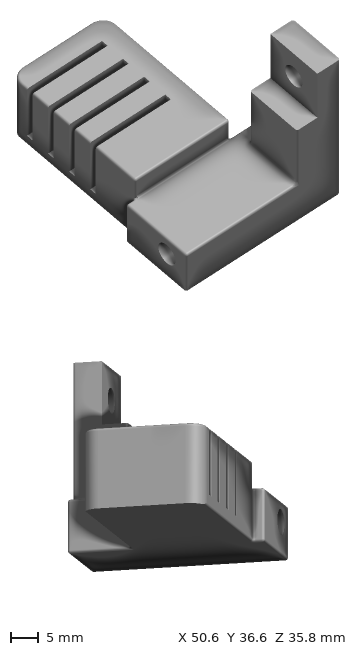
import cadquery as cq

length = 50.6
depth = 36.6
height = 35.75
edge_radius = 0.5

base_left = 34.15
base_height = 9.9

arm_front = 2.1
arm_back = 24.65
arm_height = 14.75
arm_corner_radius = 3.1

slot_count = 4
first_slot_left = 4.65
slot_width = 1.5
slot_pitch = 5.75
slot_back = 19.95
slot_floor = 2.4

post_left = 37.75
post_front = 26.35
post_foot_radius = 1.0
seam_margin = 0.05
step_front = 31.2
step_height = 24.15

hole_diameter = 4.7
post_hole_x = (post_left + length) / 2
post_hole_z = 29.85
base_hole_x = 45.35
base_hole_z = 5.95
base_hole_depth = 10.1


def block(x_min, x_max, y_min, y_max, z_min, z_max):
    """Box given by its limits along each axis."""
    return cq.Workplane("XY").box(
        x_max - x_min, y_max - y_min, z_max - z_min, centered=False
    ).translate((x_min, y_min, z_min))


def y_hole(x, z, hole_depth):
    """Drill along Y, starting from the front face."""
    return (
        cq.Workplane("XZ", origin=(x, 0, z))
        .circle(hole_diameter / 2)
        .extrude(-hole_depth)
    )


def make_arm():
    arm = block(0, base_left, arm_front, arm_back, 0, arm_height)
    arm = arm.edges("|X and <Z").fillet(edge_radius)
    rounded_plan = block(0, base_left, arm_front, arm_back, 0, arm_height)
    rounded_plan = rounded_plan.edges("|Z and <X").fillet(arm_corner_radius)
    arm = arm.intersect(rounded_plan)
    arm = arm.edges("|Z and >X").fillet(edge_radius)
    return arm.faces(">Z").edges().fillet(edge_radius)


def make_base():
    stub_left = base_left / 2
    stub = block(stub_left, base_left, arm_front, arm_back, 0, base_height)
    base = block(base_left, length, 0, depth, 0, base_height).union(stub)
    base = base.edges("|Z").edges("not <X").fillet(edge_radius)
    base = base.faces("<Z or >Z").edges("not <X").fillet(edge_radius)
    return base.intersect(block(base_left - edge_radius, length, 0, depth, 0, base_height))


def make_post():
    post_bottom = base_height / 2
    post = block(post_left, length, post_front, depth, post_bottom, height)
    return post.edges("|Z").fillet(edge_radius)


def round_post_foot(body):
    """Fillet the inner corner where the post's front and left sides meet the base."""
    foot_edges = cq.selectors.BoxSelector(
        (post_left - edge_radius, post_front - edge_radius, base_height - seam_margin),
        (length - edge_radius, depth - edge_radius, base_height + seam_margin),
    )
    return body.edges(foot_edges).fillet(post_foot_radius)


def make_arm_foot():
    """Concave fillet strip between the arm's flat end face and the top of the base."""
    strip_width = arm_back - arm_front - 2 * edge_radius
    return (
        cq.Workplane("XZ", origin=(base_left, arm_front + edge_radius, base_height))
        .lineTo(0, edge_radius)
        .radiusArc((edge_radius, 0), -edge_radius)
        .close()
        .extrude(-strip_width)
    )


def make_slots():
    slots = cq.Workplane("XY")
    for index in range(slot_count):
        left = first_slot_left + index * slot_pitch
        slots = slots.union(block(left, left + slot_width, 0, slot_back, slot_floor, height))
    return slots


body = make_base().union(make_post())
body = round_post_foot(body)
body = body.union(make_arm()).union(make_arm_foot())
body = body.cut(make_slots())
body = body.cut(block(post_left, length, 0, step_front, step_height, height))
body = body.cut(y_hole(post_hole_x, post_hole_z, depth))
body = body.cut(y_hole(base_hole_x, base_hole_z, base_hole_depth))

result = body